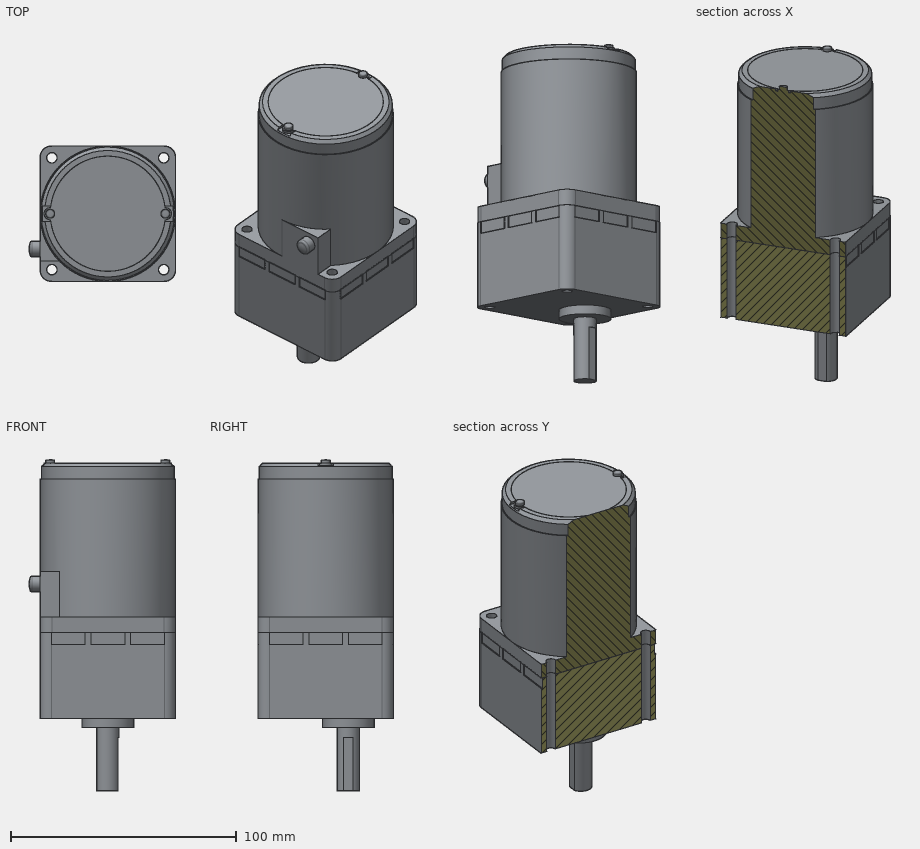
import cadquery as cq
import math


frame_width = 60.0
bolt_circle_diameter = 70.0
bolt_hole_diameter = 4.5

gearbox_height = 38.0
gearbox_corner_radius = 5.0
recesses_per_side = 3
recess_width = 15.0
recess_height = 5.2
recess_depth = 0.5
recess_field_width = frame_width - 2 * gearbox_corner_radius
recess_pitch = (recess_field_width - recess_width) / (recesses_per_side - 1)

shaft_offset = 10.0
shaft_diameter = 10.0
shaft_reach = 32.0
shaft_boss_diameter = 23.0
shaft_boss_height = 4.0
shaft_flat_start = 8.5
shaft_flat_distance = 4.55

flange_thickness = 7.0
flange_corner_radius = 5.2
can_length = 61.0
cap_diameter = 59.0
cap_height = 7.0
cap_chamfer = 1.5
flange_top = gearbox_height + flange_thickness
can_top = flange_top + can_length
cap_top = can_top + cap_height

disc_diameter = 51.0
disc_step = 0.07
notch_width = 7.0
notch_depth = 1.0
screw_boss_diameter = 5.4
screw_diameter = 4.0
screw_height = 1.57
screw_rounding = 0.35
screw_dome_height = 0.12
screw_radial_position = disc_diameter / 2

outlet_block_width = 21.0
outlet_block_height = 20.0
gland_diameter = 7.0
gland_length = 4.92
gland_rounding = 1.0
gland_dome_height = 0.42
gland_y = -15.6
gland_height_above_flange = 14.5


def square_block(height, corner_radius, bottom):
    """Square frame section with rounded vertical corners."""
    block = cq.Workplane("XY", origin=(0, 0, bottom)).rect(frame_width, frame_width).extrude(height)
    return block.edges("|Z").fillet(corner_radius)


def cylinder(diameter, height, bottom, x=0.0, y=0.0):
    return cq.Workplane("XY", origin=(x, y, bottom)).circle(diameter / 2).extrude(height)


def domed_pin(diameter, height, rounding, dome_height):
    """Upright pin from Z = 0 with a rounded rim and a shallow domed end."""
    radius = diameter / 2
    dome_rim = radius - rounding
    shoulder = height - dome_height
    dome_radius = (dome_rim**2 + dome_height**2) / (2 * dome_height)
    half_rim = dome_rim / 2
    dome_mid_height = height - dome_radius + math.sqrt(dome_radius**2 - half_rim**2)
    return (
        cq.Workplane("XZ")
        .lineTo(radius, 0)
        .lineTo(radius, shoulder - rounding)
        .tangentArcPoint((dome_rim, shoulder), relative=False)
        .threePointArc((half_rim, dome_mid_height), (0, height))
        .close()
        .revolve(360, (0, 0, 0), (0, 1, 0))
    )


def bolt_holes(bottom, height):
    """Four corner holes on the common bolt circle."""
    return (
        cq.Workplane("XY", origin=(0, 0, bottom))
        .polarArray(bolt_circle_diameter / 2, 45, 360, 4)
        .circle(bolt_hole_diameter / 2)
        .extrude(height)
    )


def side_recesses():
    """Shallow rectangular recesses along the top edge of all four gearbox sides."""
    recess_z = gearbox_height - recess_height / 2
    recess_y = -(frame_width - recess_depth) / 2
    one_side = (
        cq.Workplane("XY", origin=(0, recess_y, recess_z))
        .rarray(recess_pitch, 1, recesses_per_side, 1)
        .box(recess_width, recess_depth, recess_height)
    )
    recesses = one_side
    for quarter_turn in range(1, 4):
        recesses = recesses.add(one_side.rotate((0, 0, 0), (0, 0, 1), 90 * quarter_turn))
    return recesses.combine()


def output_shaft():
    """Offset shaft with a flat on its +X side below the boss."""
    shaft = cylinder(shaft_diameter, shaft_reach, -shaft_reach, y=shaft_offset)
    flat_length = shaft_reach - shaft_flat_start
    flat_cut = cq.Workplane("XY", origin=(shaft_flat_distance, shaft_offset, -shaft_reach)).box(
        shaft_diameter, shaft_diameter, flat_length, centered=(False, True, False)
    )
    return shaft.cut(flat_cut)


def make_gearbox():
    body = square_block(gearbox_height, gearbox_corner_radius, 0)
    body = body.cut(side_recesses())
    body = body.cut(bolt_holes(0, gearbox_height))
    boss = cylinder(shaft_boss_diameter, shaft_boss_height, -shaft_boss_height, y=shaft_offset)
    return body.union(boss).union(output_shaft())


def end_disc():
    """Slightly raised disc with a round boss under each screw."""
    bottom = cap_top - notch_depth
    height = notch_depth + disc_step
    disc = cylinder(disc_diameter, height, bottom)
    for side in (-1, 1):
        disc = disc.union(cylinder(screw_boss_diameter, height, bottom, x=side * screw_radial_position))
    return disc


def cap_screw(x):
    """Domed screw head rising from the notch floor."""
    height = screw_height + notch_depth
    screw = domed_pin(screw_diameter, height, screw_rounding, screw_dome_height)
    return screw.translate((x, 0, cap_top - notch_depth))


def end_cap():
    cap = cylinder(cap_diameter, cap_height, can_top).faces(">Z").chamfer(cap_chamfer)
    notches = cq.Workplane("XY", origin=(0, 0, cap_top - notch_depth)).box(
        frame_width, notch_width, notch_depth, centered=(True, True, False)
    )
    cap = cap.cut(notches).union(end_disc())
    for side in (-1, 1):
        cap = cap.union(cap_screw(side * screw_radial_position))
    return cap


def cable_outlet():
    """Block on the -X side of the flange, carrying a round cable gland."""
    block = cq.Workplane("XY", origin=(-frame_width / 2, -outlet_block_width, flange_top)).box(
        frame_width / 2, outlet_block_width, outlet_block_height, centered=False
    )
    gland = domed_pin(gland_diameter, gland_length, gland_rounding, gland_dome_height)
    gland = gland.rotate((0, 0, 0), (0, 1, 0), -90)
    gland = gland.translate((-frame_width / 2, gland_y, flange_top + gland_height_above_flange))
    return block.union(gland)


def make_motor():
    flange = square_block(flange_thickness, flange_corner_radius, gearbox_height)
    flange = flange.cut(bolt_holes(gearbox_height, flange_thickness))
    can = cylinder(frame_width, can_length, flange_top)
    return flange.union(can).union(cable_outlet()).union(end_cap())


gearbox = make_gearbox()
motor = make_motor()
result = cq.Compound.makeCompound([*gearbox.solids().vals(), *motor.solids().vals()])